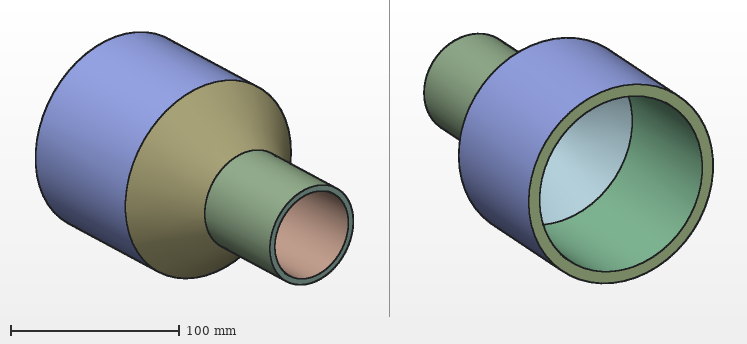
import cadquery as cq

large_outer_diameter = 125.0
large_bore_diameter = 110.2
small_outer_diameter = 63.0
small_bore_diameter = 55.4

total_length = 187.0
large_spigot_length = 87.0
small_spigot_length = 63.0

cone_start = large_spigot_length
cone_end = total_length - small_spigot_length


def reducer_body(large_diameter, small_diameter):
    """Solid of revolution about X: large cylinder, cone, small cylinder."""
    large_radius = large_diameter / 2
    small_radius = small_diameter / 2
    return (
        cq.Workplane("XY")
        .moveTo(0, 0)
        .lineTo(0, large_radius)
        .lineTo(cone_start, large_radius)
        .lineTo(cone_end, small_radius)
        .lineTo(total_length, small_radius)
        .lineTo(total_length, 0)
        .close()
        .revolve(360, (0, 0, 0), (1, 0, 0))
    )


outer_body = reducer_body(large_outer_diameter, small_outer_diameter)
bore = reducer_body(large_bore_diameter, small_bore_diameter)

result = outer_body.cut(bore)